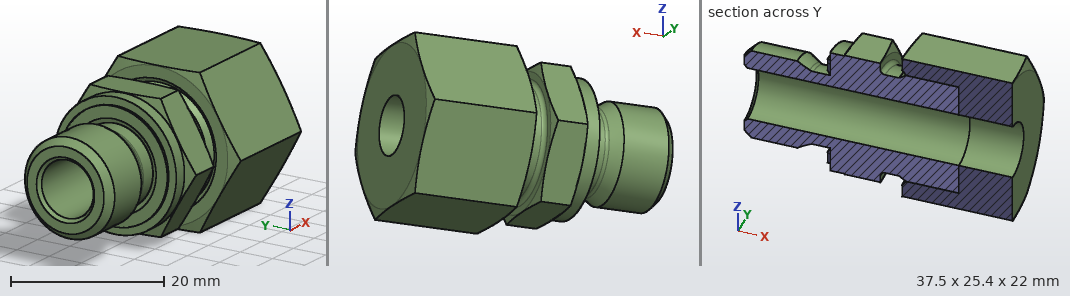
import math

import cadquery as cq

FLOW_BORE_RADIUS = 4.0
FLOW_BORE_CHAMFER = 0.5

STUD_RADIUS = 6.98
STUD_TIP_CHAMFER = 1.0
STUD_END_X = 7.42
NECK_RADIUS = 5.85
NECK_CONE_ANGLE = 30
NECK_BLEND_RADIUS = 1.0

COLLAR_START_X = 12.0
COLLAR_RADIUS = 9.45
FITTING_HEX_START_X = 14.0
FITTING_HEX_END_X = 19.05
FITTING_HEX_FLATS = 19.05

UNDERCUT_RADIUS = 7.88
UNDERCUT_FILLET = 0.6
FLARE_START_X = 21.68
FLARE_ANGLE = 35
SPIGOT_RADIUS = 8.5
SPIGOT_END_X = 30.0

TOTAL_LENGTH = 37.5
NUT_START_X = 22.0
NUT_FLATS = 22.0
NUT_FACE_RADIUS = 10.95
NUT_MOUTH_RADIUS = 9.2

HEX_CHAMFER_ANGLE = 15

SEAL_START_X = 11.62
SEAL_OUTER_RADIUS = 8.3
SEAL_MOUTH_RADIUS = 6.55
SEAL_MOUTH_DEPTH = 0.32

FLARE_END_X = FLARE_START_X + (SPIGOT_RADIUS - UNDERCUT_RADIUS) / math.tan(math.radians(FLARE_ANGLE))


def revolve_about_x(profile):
    return profile.close().revolve(360, (0, 0, 0), (1, 0, 0))


def chamfered_hexagon(start_x, end_x, flats, face_radius):
    """Hexagonal bar along X, corners toward +-Y, with conical chamfers on both ends."""
    corner_radius = flats / 2 / math.cos(math.radians(30))
    chamfer_depth = (corner_radius - face_radius) * math.tan(math.radians(HEX_CHAMFER_ANGLE))
    hexagon = (
        cq.Workplane("YZ")
        .workplane(offset=start_x)
        .polygon(6, 2 * corner_radius)
        .extrude(end_x - start_x)
    )
    envelope = revolve_about_x(
        cq.Workplane("XY")
        .moveTo(start_x, 0)
        .lineTo(start_x, face_radius)
        .lineTo(start_x + chamfer_depth, corner_radius)
        .lineTo(end_x - chamfer_depth, corner_radius)
        .lineTo(end_x, face_radius)
        .lineTo(end_x, 0)
    )
    return hexagon.intersect(envelope)


def turned_core():
    """Everything round on the fitting: stud, neck, collar, undercut and spigot."""
    cone_angle = math.radians(NECK_CONE_ANGLE)
    blend_start_radius = NECK_RADIUS + NECK_BLEND_RADIUS * (1 - math.cos(cone_angle))
    blend_start_x = STUD_END_X + (STUD_RADIUS - blend_start_radius) / math.tan(cone_angle)
    blend_end_x = blend_start_x + NECK_BLEND_RADIUS * math.sin(cone_angle)
    return revolve_about_x(
        cq.Workplane("XY")
        .moveTo(0, 0)
        .lineTo(0, STUD_RADIUS - STUD_TIP_CHAMFER)
        .lineTo(STUD_TIP_CHAMFER, STUD_RADIUS)
        .lineTo(STUD_END_X, STUD_RADIUS)
        .lineTo(blend_start_x, blend_start_radius)
        .radiusArc((blend_end_x, NECK_RADIUS), -NECK_BLEND_RADIUS)
        .lineTo(COLLAR_START_X, NECK_RADIUS)
        .lineTo(COLLAR_START_X, COLLAR_RADIUS)
        .lineTo(FITTING_HEX_END_X, COLLAR_RADIUS)
        .lineTo(FITTING_HEX_END_X, UNDERCUT_RADIUS + UNDERCUT_FILLET)
        .radiusArc((FITTING_HEX_END_X + UNDERCUT_FILLET, UNDERCUT_RADIUS), -UNDERCUT_FILLET)
        .lineTo(FLARE_START_X, UNDERCUT_RADIUS)
        .lineTo(FLARE_END_X, SPIGOT_RADIUS)
        .lineTo(SPIGOT_END_X, SPIGOT_RADIUS)
        .lineTo(SPIGOT_END_X, 0)
    )


def flow_bore():
    """Through bore with a chamfered mouth at the stud tip."""
    return revolve_about_x(
        cq.Workplane("XY")
        .moveTo(0, 0)
        .lineTo(0, FLOW_BORE_RADIUS + FLOW_BORE_CHAMFER)
        .lineTo(FLOW_BORE_CHAMFER, FLOW_BORE_RADIUS)
        .lineTo(TOTAL_LENGTH, FLOW_BORE_RADIUS)
        .lineTo(TOTAL_LENGTH, 0)
    )


def make_fitting():
    hexagon = chamfered_hexagon(FITTING_HEX_START_X, FITTING_HEX_END_X, FITTING_HEX_FLATS, COLLAR_RADIUS)
    return turned_core().union(hexagon).cut(flow_bore())


def make_seal_ring():
    return revolve_about_x(
        cq.Workplane("XY")
        .moveTo(SEAL_START_X, SEAL_MOUTH_RADIUS)
        .lineTo(SEAL_START_X, SEAL_OUTER_RADIUS)
        .lineTo(COLLAR_START_X, SEAL_OUTER_RADIUS)
        .lineTo(COLLAR_START_X, NECK_RADIUS)
        .lineTo(SEAL_START_X + SEAL_MOUTH_DEPTH, NECK_RADIUS)
    )


def spigot_socket():
    """Countersunk mouth followed by a straight hole that fits the spigot."""
    return revolve_about_x(
        cq.Workplane("XY")
        .moveTo(NUT_START_X, 0)
        .lineTo(NUT_START_X, NUT_MOUTH_RADIUS)
        .lineTo(FLARE_END_X, SPIGOT_RADIUS)
        .lineTo(SPIGOT_END_X, SPIGOT_RADIUS)
        .lineTo(SPIGOT_END_X, 0)
    )


def make_nut():
    """Union nut: a socket for the spigot, then the flow bore out to the end face."""
    nut = chamfered_hexagon(NUT_START_X, TOTAL_LENGTH, NUT_FLATS, NUT_FACE_RADIUS)
    return nut.cut(spigot_socket()).cut(flow_bore())


fitting = make_fitting()
seal_ring = make_seal_ring()
nut = make_nut()

result = cq.Compound.makeCompound([fitting.solids().val(), seal_ring.val(), nut.solids().val()])